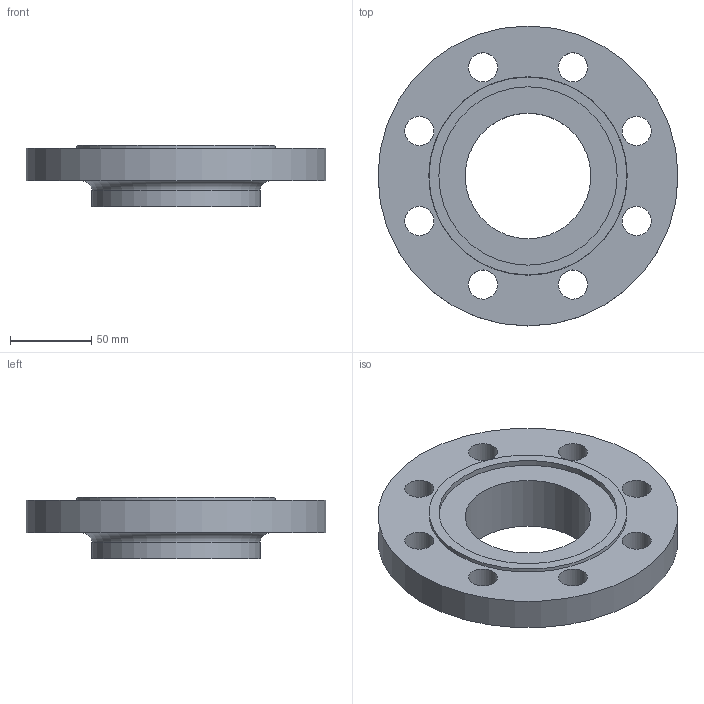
import cadquery as cq

flange_diameter = 185.0
flange_thickness = 20.0

face_base_diameter = 122.4
face_top_diameter = 122.0
face_height = 2.0
recess_diameter = 110.0
recess_depth = 3.5

collar_diameter = 104.0
collar_height = 10.0
neck_fillet_radius = 6.0

bore_diameter = 77.5
bolt_hole_diameter = 18.0
bolt_circle_diameter = 145.0
bolt_count = 8

flange_bottom = collar_height + neck_fillet_radius
flange_top = flange_bottom + flange_thickness
face_top = flange_top + face_height
recess_floor = face_top - recess_depth


def flange_body():
    """Revolve the half section of plate, raised face, recess, neck and bore."""
    bore_radius = bore_diameter / 2
    collar_radius = collar_diameter / 2
    flange_radius = flange_diameter / 2
    recess_radius = recess_diameter / 2
    half_section = (
        cq.Workplane("XZ")
        .moveTo(bore_radius, 0)
        .lineTo(collar_radius, 0)
        .lineTo(collar_radius, collar_height)
        .radiusArc((collar_radius + neck_fillet_radius, flange_bottom), neck_fillet_radius)
        .lineTo(flange_radius, flange_bottom)
        .lineTo(flange_radius, flange_top)
        .lineTo(face_base_diameter / 2, flange_top)
        .lineTo(face_top_diameter / 2, face_top)
        .lineTo(recess_radius, face_top)
        .lineTo(recess_radius, recess_floor)
        .lineTo(bore_radius, recess_floor)
        .close()
    )
    return half_section.revolve(360, (0, 0, 0), (0, 1, 0))


def bolt_holes():
    """Through holes on the bolt circle, straddling the X and Y axes."""
    half_pitch_angle = 180 / bolt_count
    return (
        cq.Workplane("XY")
        .polarArray(bolt_circle_diameter / 2, half_pitch_angle, 360, bolt_count)
        .circle(bolt_hole_diameter / 2)
        .extrude(face_top)
    )


result = flange_body().cut(bolt_holes())